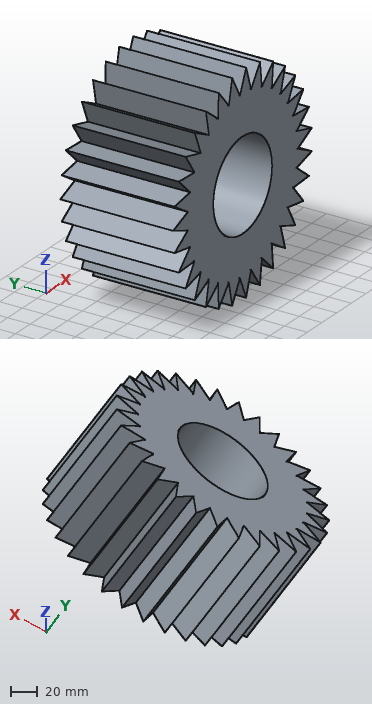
import cadquery as cq
import math

height = 189.0
width = 100.0
bore_diameter = 80.0
root_radius = 75.0
tooth_count = 31

pitch_angle = 2 * math.pi / tooth_count
tip_radius = height / 2 / math.cos(pitch_angle / 4)


def polar_point(radius, angle):
    return (radius * math.cos(angle), radius * math.sin(angle))


def tooth_outline():
    """Pointed teeth with straight flanks, starting with a tip on the -X axis."""
    points = []
    for tooth in range(tooth_count):
        tip_angle = math.pi + tooth * pitch_angle
        points.append(polar_point(tip_radius, tip_angle))
        points.append(polar_point(root_radius, tip_angle + pitch_angle / 2))
    return points


body = cq.Workplane("XZ").polyline(tooth_outline()).close().extrude(width / 2, both=True)

bore = cq.Workplane("XZ").circle(bore_diameter / 2).extrude(width / 2, both=True)

result = body.cut(bore)